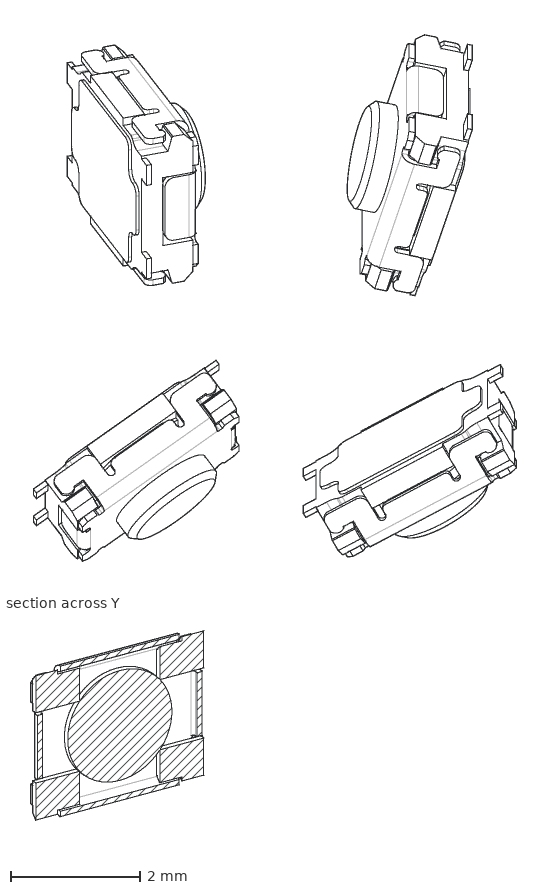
import cadquery as cq
import math


housing_half_x = 1.525
housing_half_z = 1.18
housing_depth = 0.85
housing_edge_chamfer = 0.095
floor_depth = 0.355
cavity_half_x = 0.725
cavity_half_z = 0.60
lug_half_z = 1.31

block_inner_x = 1.126
block_top_z = 1.30
block_chamfer = 0.145
block_front_y = 0.52
block_lip = 0.018
relief_z = 1.05
relief_back_y = 0.44
relief_start_x = 1.335
relief_concave_radius = 0.256
relief_convex_radius = 0.10
relief_slope_angle = 45

terminal_end_x = 1.75
terminal_low_z = 0.65
terminal_high_z = 1.005
terminal_thickness = 0.08

film_thickness = 0.05
film_half_x = 1.425
film_neck_half_x = 1.10
film_half_z = 1.10
film_step_z = 0.45
film_radius = 0.15

contact_thickness = 0.045
contact_flat_half_x = 0.45
contact_flat_half_z = 0.555
contact_corner = 0.60

sheet = 0.10
cover_front_y = housing_depth
cover_back_y = cover_front_y + sheet
cover_half_x = 1.50
cover_half_z = 1.145
cover_corner_chamfer = 0.10
tab_tip_y = 0.40

side_bend_radius = 0.15
side_tab_half_z = 0.555
side_tab_corner_radius = 0.15

hook_bend_radius = 0.20
hook_tab_outer_z = 1.30
hook_tab_half_x = 1.083
hook_inner_x = cavity_half_x
hook_end_x = 1.48
hook_tip_y = 0.10
hook_inner_radius = 0.15
hook_outer_radius = 0.11
hook_notch_x = 1.265
hook_notch_y = 0.42
hook_crown = (1.33, 0.45)
hook_shoulder = (1.43, 0.43)
hook_shoulder_y = 0.38
slot_radius = 0.064
slot_end_y = 0.61
tongue_corner_radius = 0.08

plate_relief_radius = 0.043
plate_relief_flat_x = 1.18
plate_relief_end_x = 1.22

side_relief_radius = 0.075

button_radius = 0.85
button_top_y = 1.35
button_chamfer = 0.10
button_bottom_y = 0.61
flange_radius = 0.95
flange_bottom_y = 0.757


def xz_plane(y):
    return cq.Workplane("XZ", origin=(0, y, 0))


def span_box(x_range, y_range, z_range):
    """Box given by its start and end along each axis."""
    size = [end - start for start, end in (x_range, y_range, z_range)]
    start_corner = (x_range[0], y_range[0], z_range[0])
    return cq.Workplane("XY").box(*size, centered=False).translate(start_corner)


def mirror_x(body):
    return body.union(body.mirror("YZ"))


def mirror_z(body):
    return body.union(body.mirror("XY"))


def on_four_corners(body):
    return mirror_z(mirror_x(body))


def corner_block():
    """Raised block at the +X +Z corner, chamfered towards the cover."""
    profile = [
        (relief_back_y, relief_z),
        (block_front_y - block_lip, block_top_z - block_lip),
        (block_front_y, block_top_z),
        (housing_depth - block_chamfer, block_top_z),
        (housing_depth, block_top_z - block_chamfer),
        (housing_depth, relief_z),
    ]
    width = housing_half_x - block_inner_x
    return cq.Workplane("YZ", origin=(block_inner_x, 0, 0)).polyline(profile).close().extrude(width)


def corner_relief():
    """Material removed at the +X +Z corner: an S-shaped step ending at a slanted back wall."""
    bend = math.radians(relief_slope_angle)
    half_bend = bend / 2

    def arc_point(radius, angle):
        return radius * math.sin(angle), radius * (1 - math.cos(angle))

    mid_x, mid_z = arc_point(relief_concave_radius, half_bend)
    end_x, end_z = arc_point(relief_concave_radius, bend)
    top_mid_x, top_mid_z = arc_point(relief_convex_radius, half_bend)
    top_x, top_z = arc_point(relief_convex_radius, bend)

    slope_start = (relief_start_x - end_x, relief_z + end_z)
    slope_end_z = housing_half_z - top_z
    slope_end_x = slope_start[0] - (slope_end_z - slope_start[1]) / math.tan(bend)
    crest_x = slope_end_x - top_x

    step = (
        xz_plane(0)
        .moveTo(housing_half_x, relief_z)
        .lineTo(relief_start_x, relief_z)
        .threePointArc((relief_start_x - mid_x, relief_z + mid_z), slope_start)
        .lineTo(slope_end_x, slope_end_z)
        .threePointArc((crest_x + top_mid_x, housing_half_z - top_mid_z), (crest_x, housing_half_z))
        .lineTo(crest_x, block_top_z)
        .lineTo(housing_half_x, block_top_z)
        .close()
        .extrude(-block_front_y)
    )
    wall = [
        (0, relief_z),
        (relief_back_y, relief_z),
        (block_front_y - block_lip, block_top_z - block_lip),
        (block_front_y, block_top_z),
        (0, block_top_z),
    ]
    return step.intersect(cq.Workplane("YZ").polyline(wall).close().extrude(housing_half_x))


def make_housing():
    body = span_box(
        (-housing_half_x, housing_half_x), (0, housing_depth), (-housing_half_z, housing_half_z)
    )
    body = body.edges("|X and >Y").chamfer(housing_edge_chamfer)
    body = body.union(on_four_corners(corner_block()))
    body = body.cut(on_four_corners(corner_relief()))

    cavity_y = (floor_depth, housing_depth)
    body = body.cut(
        span_box((-cavity_half_x, cavity_half_x), cavity_y, (-housing_half_z, housing_half_z))
    )
    body = body.cut(
        span_box((-housing_half_x, housing_half_x), cavity_y, (-cavity_half_z, cavity_half_z))
    )
    lugs = span_box((-cavity_half_x, cavity_half_x), (0, floor_depth), (-lug_half_z, lug_half_z))
    return body.union(lugs)


def make_terminals():
    terminal = span_box(
        (block_inner_x, terminal_end_x), (0, terminal_thickness), (terminal_low_z, terminal_high_z)
    )
    return on_four_corners(terminal)


def make_film():
    """Cross-shaped film on the seating face with every corner rounded."""
    wide = xz_plane(0).rect(2 * film_half_x, 2 * film_step_z).extrude(film_thickness)
    tall = xz_plane(0).rect(2 * film_neck_half_x, 2 * film_half_z).extrude(film_thickness)
    return wide.union(tall).edges("|Y").fillet(film_radius)


def make_contact_plate():
    half_x = contact_flat_half_x + contact_corner
    half_z = contact_flat_half_z + contact_corner
    plate = xz_plane(floor_depth).rect(2 * half_x, 2 * half_z).extrude(-contact_thickness)
    return plate.edges("|Y").chamfer(contact_corner)


def bent_strip(outer, radius, tip_y, width):
    """Sheet strip that leaves the cover plate towards +X and bends down to tip_y."""
    root = outer - radius
    inner = outer - sheet
    inner_radius = radius - sheet
    bend_y = cover_back_y - radius
    diagonal = math.sqrt(0.5)
    return (
        cq.Workplane("XY", origin=(0, 0, -width / 2))
        .moveTo(root, cover_back_y)
        .threePointArc((root + radius * diagonal, bend_y + radius * diagonal), (outer, bend_y))
        .lineTo(outer, tip_y)
        .lineTo(inner, tip_y)
        .lineTo(inner, bend_y)
        .threePointArc(
            (root + inner_radius * diagonal, bend_y + inner_radius * diagonal), (root, cover_front_y)
        )
        .close()
        .extrude(width)
    )


def make_side_tabs():
    tab = bent_strip(cover_half_x, side_bend_radius, tab_tip_y, 2 * side_tab_half_z)
    tab = tab.edges("|X and <Y").fillet(side_tab_corner_radius)
    return mirror_x(tab)


def hook_outline():
    """Flat shape of the +X half of a hooked tab, extruded along Z through the +Z side."""
    slot_inner_x = hook_inner_x - 2 * slot_radius
    slot_mid_x = hook_inner_x - slot_radius
    slot_arc_y = slot_end_y - slot_radius
    diagonal = math.sqrt(0.5)
    tongue_mid = tongue_corner_radius * (1 - diagonal)
    inner_mid = hook_inner_radius * (1 - diagonal)
    outer_mid = hook_outer_radius * (1 - diagonal)
    return (
        cq.Workplane("XY")
        .moveTo(0, cover_back_y)
        .lineTo(0, tab_tip_y)
        .lineTo(slot_inner_x - tongue_corner_radius, tab_tip_y)
        .threePointArc(
            (slot_inner_x - tongue_mid, tab_tip_y + tongue_mid),
            (slot_inner_x, tab_tip_y + tongue_corner_radius),
        )
        .lineTo(slot_inner_x, slot_arc_y)
        .threePointArc((slot_mid_x, slot_end_y), (hook_inner_x, slot_arc_y))
        .lineTo(hook_inner_x, hook_tip_y + hook_inner_radius)
        .threePointArc(
            (hook_inner_x + inner_mid, hook_tip_y + inner_mid),
            (hook_inner_x + hook_inner_radius, hook_tip_y),
        )
        .lineTo(hook_end_x - hook_outer_radius, hook_tip_y)
        .threePointArc(
            (hook_end_x - outer_mid, hook_tip_y + outer_mid),
            (hook_end_x, hook_tip_y + hook_outer_radius),
        )
        .lineTo(hook_end_x, hook_shoulder_y)
        .lineTo(*hook_shoulder)
        .threePointArc(hook_crown, (hook_notch_x, hook_notch_y))
        .lineTo(hook_notch_x, tab_tip_y)
        .lineTo(hook_tab_half_x, tab_tip_y)
        .lineTo(hook_tab_half_x, cover_back_y)
        .close()
        .extrude(hook_tab_outer_z)
    )


def make_hook_tabs():
    strip = bent_strip(hook_tab_outer_z, hook_bend_radius, hook_tip_y, 2 * hook_end_x)
    strip = strip.rotate((0, 0, 0), (0, 1, 0), -90)
    return mirror_z(strip.intersect(mirror_x(hook_outline())))


def make_cover_plate():
    """Flat cover plate with bend reliefs beside every tab."""
    hook_root_z = hook_tab_outer_z - hook_bend_radius
    side_root_x = cover_half_x - side_bend_radius
    diagonal = math.sqrt(0.5)
    slot_bottom_x = side_root_x + side_relief_radius
    plate_arc = plate_relief_radius * diagonal
    relief_center_x = hook_tab_half_x + plate_relief_radius
    relief_bottom_z = hook_root_z - plate_relief_radius
    quarter = (
        xz_plane(cover_front_y)
        .lineTo(0, hook_root_z)
        .lineTo(hook_tab_half_x, hook_root_z)
        .threePointArc(
            (relief_center_x - plate_arc, hook_root_z - plate_arc), (relief_center_x, relief_bottom_z)
        )
        .lineTo(plate_relief_flat_x, relief_bottom_z)
        .lineTo(plate_relief_end_x, cover_half_z)
        .lineTo(cover_half_x - cover_corner_chamfer, cover_half_z)
        .lineTo(cover_half_x, cover_half_z - cover_corner_chamfer)
        .lineTo(cover_half_x, side_tab_half_z + 2 * side_relief_radius)
        .lineTo(slot_bottom_x, side_tab_half_z + 2 * side_relief_radius)
        .threePointArc(
            (side_root_x, side_tab_half_z + side_relief_radius), (slot_bottom_x, side_tab_half_z)
        )
        .lineTo(side_root_x, side_tab_half_z)
        .lineTo(side_root_x, 0)
        .close()
        .extrude(-sheet)
    )
    return on_four_corners(quarter)


def make_button():
    """Chamfered round button with a retaining flange below the cover."""
    button = xz_plane(button_bottom_y).circle(button_radius).extrude(button_bottom_y - button_top_y)
    button = button.faces(">Y").chamfer(button_chamfer)
    flange = xz_plane(flange_bottom_y).circle(flange_radius).extrude(flange_bottom_y - cover_front_y)
    return button.union(flange)


result = (
    make_housing()
    .union(make_terminals())
    .union(make_film())
    .union(make_contact_plate())
    .union(make_cover_plate())
    .union(make_side_tabs())
    .union(make_hook_tabs())
    .union(make_button())
)